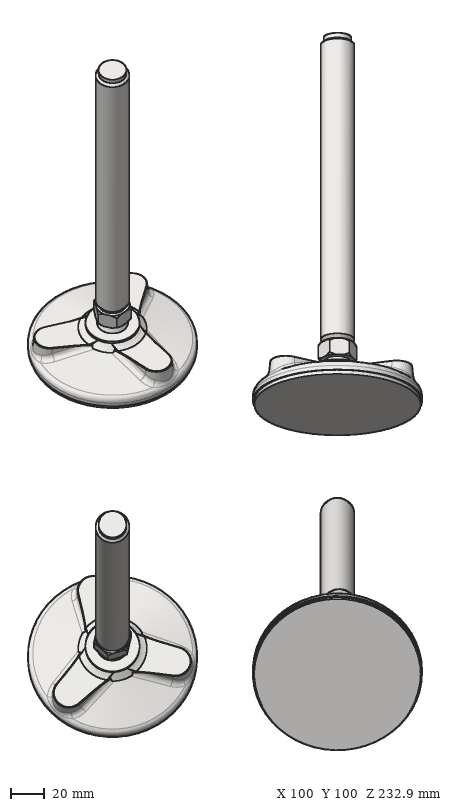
import cadquery as cq
import math

PLATE_RADIUS = 50.0
RIM_RADIUS = 98.2 / 2
RIM_HEIGHT = 2.5
BAND_TOP = 5.2
EDGE_ROUND = 4.0
CONE_ANGLE = 17.0

HUB_RADIUS = 16.0
HUB_TOP = 22.5
HUB_LIP = 1.4
HUB_FOOT_RADIUS = 20.25
HUB_ARM_FLARE = 15.0

ARM_COUNT = 3
ARM_FIRST_ANGLE = 90.0
ARM_TOP = 18.6
ARM_END_RADIUS = 18.5 / 2
ARM_END_DISTANCE = 38.0
ARM_TAPER_ANGLE = 5.0
ARM_DRAFT_ANGLE = 6.0
ARM_BLEND = 4.0
ARM_EDGE_BREAK = 0.4

ARM_SURPLUS = 6.0
CORE_RADIUS = 17.2
CORE_CLEARANCE = 0.3
CUT_MARGIN = 1.0

NECK_FOOT_RADIUS = 18.5 / 2
NECK_WAIST_RADIUS = 14.3 / 2
NECK_WAIST_HEIGHT = 26.0
HEX_BOTTOM = 28.0
HEX_TOP = 38.2
HEX_ACROSS_FLATS = 20.0
HEX_BEVEL = 1.3
ROD_RADIUS = 20.0 / 2
RELIEF_RADIUS = 16.5 / 2
RELIEF_HEIGHT = 1.1
ROD_BOTTOM_BEVEL = 2.0
ROD_TOP_BEVEL = 1.5
TIP_LENGTH = 3.0
TOTAL_HEIGHT = 232.88

EDGE_CENTRE_RADIUS = PLATE_RADIUS - EDGE_ROUND
CONE_RADIUS = EDGE_CENTRE_RADIUS + EDGE_ROUND * math.sin(math.radians(CONE_ANGLE))
CONE_EDGE_HEIGHT = BAND_TOP + EDGE_ROUND * math.cos(math.radians(CONE_ANGLE))


def cone_height(radius):
    """Height of the conical top of the plate at a given radius."""
    return CONE_EDGE_HEIGHT + (CONE_RADIUS - radius) * math.tan(math.radians(CONE_ANGLE))


def draft_spread(height):
    """How far a drafted arm side moves outward over a given height."""
    return height * math.tan(math.radians(ARM_DRAFT_ANGLE))


def revolve_profile(profile):
    """Turn a half profile, drawn as radius and height, about the Z axis."""
    return profile.close().revolve(360, (0, 0, 0), (0, 1, 0))


def make_plate():
    """Turned plate, with a core standing in its middle for the arms to run into."""
    plate = revolve_profile(
        cq.Workplane("XZ")
        .lineTo(RIM_RADIUS, 0)
        .lineTo(RIM_RADIUS, RIM_HEIGHT)
        .lineTo(PLATE_RADIUS, RIM_HEIGHT)
        .lineTo(PLATE_RADIUS, BAND_TOP)
        .radiusArc((CONE_RADIUS, CONE_EDGE_HEIGHT), -EDGE_ROUND)
        .lineTo(0, cone_height(0))
    )
    plate = plate.rotate((0, 0, 0), (0, 0, 1), -ARM_FIRST_ANGLE)
    return plate.union(cq.Workplane("XY").circle(CORE_RADIUS).extrude(ARM_TOP + ARM_SURPLUS))


def make_hub():
    """Round boss with a conical skirt running down onto the plate."""
    return revolve_profile(
        cq.Workplane("XZ")
        .lineTo(HUB_FOOT_RADIUS, 0)
        .lineTo(HUB_FOOT_RADIUS, cone_height(HUB_FOOT_RADIUS))
        .lineTo(HUB_RADIUS, HUB_TOP - HUB_LIP)
        .lineTo(HUB_RADIUS, HUB_TOP)
        .lineTo(0, HUB_TOP)
    )


def make_arm_flares():
    """Concave flares from the hub onto the arm tops, as wide as the arms."""
    ring = revolve_profile(
        cq.Workplane("XZ")
        .moveTo(0, cone_height(HUB_RADIUS))
        .lineTo(HUB_FOOT_RADIUS, cone_height(HUB_RADIUS))
        .lineTo(HUB_FOOT_RADIUS, ARM_TOP)
        .radiusArc((HUB_RADIUS, HUB_TOP - HUB_LIP), HUB_ARM_FLARE)
        .lineTo(0, HUB_TOP - HUB_LIP)
    )
    return ring.intersect(make_arms())


def arm_prism():
    """Drafted arm along +X with a round outer end, left taller than the finished arm."""
    taper = math.radians(ARM_TAPER_ANGLE)
    full_height = ARM_TOP + ARM_SURPLUS
    end_radius = ARM_END_RADIUS - draft_spread(ARM_SURPLUS)
    tangent_x = ARM_END_DISTANCE + end_radius * math.sin(taper)
    tangent_y = end_radius * math.cos(taper)
    root_y = tangent_y + tangent_x * math.tan(taper)
    return (
        cq.Workplane("XY", origin=(0, 0, full_height))
        .moveTo(0, -root_y)
        .lineTo(tangent_x, -tangent_y)
        .threePointArc((ARM_END_DISTANCE + end_radius, 0), (tangent_x, tangent_y))
        .lineTo(0, root_y)
        .close()
        .extrude(RIM_HEIGHT - full_height, taper=-ARM_DRAFT_ANGLE)
    )


def make_arms():
    """All three arms in place."""
    arms = cq.Workplane("XY")
    for i in range(ARM_COUNT):
        angle = ARM_FIRST_ANGLE + i * 360 / ARM_COUNT
        arms = arms.add(arm_prism().rotate((0, 0, 0), (0, 0, 1), angle))
    return arms.combine()


def blend_edges(blank):
    """Edges where the arm sides and ends stand on the cone."""
    found = []
    for edge in blank.edges().vals():
        middle = edge.positionAt(0.5)
        off_core = CORE_RADIUS + CORE_CLEARANCE < math.hypot(middle.x, middle.y) < PLATE_RADIUS
        if off_core and 0 < middle.z < ARM_TOP and edge.geomType() not in ("LINE", "CIRCLE"):
            found.append(edge)
    return found


def arm_top_edges(foot):
    """Outline edges of the flat arm tops, without those against the core."""
    found = []
    for edge in foot.faces(">Z").edges().vals():
        middle = edge.positionAt(0.5)
        if math.hypot(middle.x, middle.y) > CORE_RADIUS + CORE_CLEARANCE:
            found.append(edge)
    return found


def make_foot():
    """Plate, arms and hub. The arms are blended in while still too tall, then cut level."""
    blank = make_plate().union(make_arms())
    blended = blank.newObject(blend_edges(blank)).fillet(ARM_BLEND)
    level_space = cq.Workplane("XY").circle(PLATE_RADIUS + CUT_MARGIN).extrude(ARM_TOP)
    foot = blended.intersect(level_space)
    foot = foot.newObject(arm_top_edges(foot)).chamfer(ARM_EDGE_BREAK)
    return foot.union(make_hub()).union(make_arm_flares())


def make_hexagon():
    """Hexagon with corners on the X axis, the corners bevelled at both ends."""
    corner_radius = HEX_ACROSS_FLATS / math.sqrt(3)
    height = HEX_TOP - HEX_BOTTOM
    base = cq.Workplane("XY", origin=(0, 0, HEX_BOTTOM))
    hexagon = base.polygon(6, 2 * corner_radius).extrude(height)
    return hexagon.intersect(base.circle(corner_radius).extrude(height).edges().chamfer(HEX_BEVEL))


def make_spindle():
    """Everything turned above the hub, apart from the hexagon."""
    rod_bottom = HEX_TOP + RELIEF_HEIGHT
    tip_bottom = TOTAL_HEIGHT - TIP_LENGTH
    return revolve_profile(
        cq.Workplane("XZ")
        .moveTo(0, HUB_TOP)
        .lineTo(NECK_FOOT_RADIUS, HUB_TOP)
        .lineTo(NECK_WAIST_RADIUS, NECK_WAIST_HEIGHT)
        .lineTo(NECK_WAIST_RADIUS, HEX_BOTTOM)
        .lineTo(RELIEF_RADIUS, HEX_TOP)
        .lineTo(RELIEF_RADIUS, rod_bottom)
        .lineTo(ROD_RADIUS, rod_bottom + ROD_BOTTOM_BEVEL)
        .lineTo(ROD_RADIUS, tip_bottom - ROD_TOP_BEVEL)
        .lineTo(RELIEF_RADIUS, tip_bottom)
        .lineTo(RELIEF_RADIUS, TOTAL_HEIGHT)
        .lineTo(0, TOTAL_HEIGHT)
    )


result = make_foot().union(make_spindle()).union(make_hexagon())